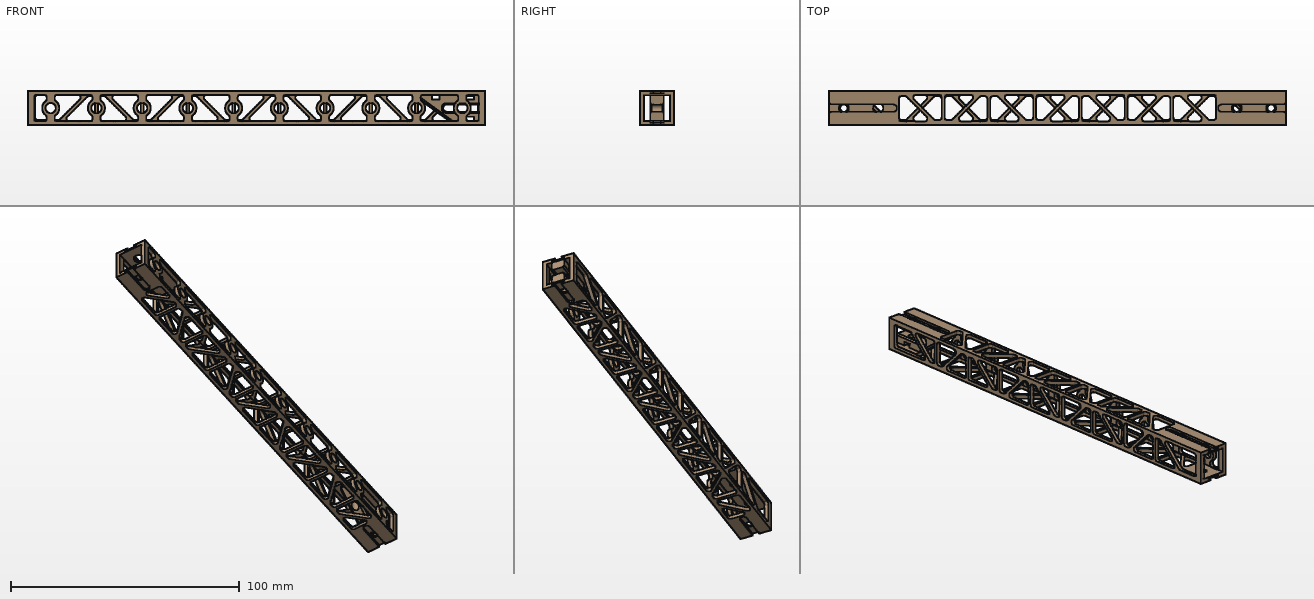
import cadquery as cq
LENGTH = 200.0
SIDE = 15.0
WALL = 1.9
HALF = SIDE / 2
INNER_HALF = HALF - WALL
WINDOW_HALF = 5.8

PITCH = 20.0
FIRST_POST = PITCH / 2
CELL_COUNT = 9
BAR_WIDTH = 1.5
BRACE_WIDTH = 1.5
BRACE_SPREAD = BRACE_WIDTH / 2**0.5
SHORT_EDGE_DROP = 0.5
WINDOW_FILLET = 1.2
BACK_END_MARGIN = 3.2
BOTTOM_END_MARGIN = 15.0
TOP_END_MARGIN = FIRST_POST + PITCH + BAR_WIDTH / 2

FRONT_END_MARGIN = 2.8
POST_WIDTH = 3.5
BOSS_DIAMETER = 7.5
BOSS_HOLE = 4.5
FRONT_FILLET = 1.1

GROOVE_WIDTH = 3.2
GROOVE_DEPTH = 1.1
GROOVE_LAND = 0.9
LIP_THICKNESS = 0.2
MOUTH_RADIUS = 1.5
SCREW_PITCH = 15.0
OUTER_SCREW = 6.5
INNER_SCREW = OUTER_SCREW + SCREW_PITCH
HEAD_HOLE = 4.5
SCREW_HOLE = 3.2

BLOCK_WIDTH = 6.0
BLOCK_START = 170.5
NOSE_HEIGHT = 1.2
SLOPE_FOOT = 184.2
NOSE_CHAMFER = 0.9
SLOT_START = 181.5
SLOT_HEIGHT = 3.0
SLOT_CHAMFER = 0.7
NOTCH_DEPTH = 1.8

OVERCUT = 2.0


def wall_prism(outline, fillet):
    """Cutter as deep as one wall, standing on the z = 0 plane, with rounded corners."""
    prism = cq.Workplane("XY").polyline(outline).close().extrude(WALL + OVERCUT)
    return prism.edges("|Z").fillet(fillet)


def truss_windows(left, right, centre, direction):
    """The two windows beside a brace; direction 1 is a rising brace and -1 a falling one."""
    edge = WINDOW_HALF
    short = edge - SHORT_EDGE_DROP
    upper_tip = centre - short - BRACE_SPREAD
    lower_tip = centre + short + BRACE_SPREAD
    upper = [(left, edge), (centre + edge - BRACE_SPREAD, edge)]
    lower = [(right, -edge), (centre - edge + BRACE_SPREAD, -edge)]
    if upper_tip > left:
        upper += [(upper_tip, -short), (left, -short)]
    else:
        upper += [(left, left - centre + BRACE_SPREAD)]
    if lower_tip < right:
        lower += [(lower_tip, short), (right, short)]
    else:
        lower += [(right, right - centre - BRACE_SPREAD)]
    cutters = []
    for outline in (upper, lower):
        points = [(x, direction * y) for x, y in outline]
        cutters.append(wall_prism(points, WINDOW_FILLET))
    return cutters


def truss(first, last, first_direction, start=None, end=None):
    """Windows of cells first to last, in alternating directions, laid out flat in XY."""
    cutters = []
    for cell in range(first, last + 1):
        left = FIRST_POST + cell * PITCH + BAR_WIDTH / 2
        right = left + PITCH - BAR_WIDTH
        centre = (left + right) / 2
        if cell == first and start is not None:
            left = start
        if cell == last and end is not None:
            right = end
        direction = first_direction * (-1) ** (cell - first)
        cutters += truss_windows(left, right, centre, direction)
    return cutters


def top_windows():
    cutters = truss(1, CELL_COUNT - 2, -1)
    return [c.translate((0, 0, INNER_HALF)) for c in cutters]


def bottom_windows():
    cutters = truss(0, CELL_COUNT - 1, -1, BOTTOM_END_MARGIN, LENGTH - BOTTOM_END_MARGIN)
    return [c.translate((0, 0, -HALF - OVERCUT)) for c in cutters]


def back_windows():
    cutters = truss(0, CELL_COUNT - 1, 1, BACK_END_MARGIN, LENGTH - BACK_END_MARGIN)
    upright = [c.rotate((0, 0, 0), (1, 0, 0), 90) for c in cutters]
    return [c.translate((0, HALF + OVERCUT, 0)) for c in upright]


def post_positions():
    return [FIRST_POST + i * PITCH for i in range(CELL_COUNT + 1)]


def front_windows():
    """One opening between the end margins, less the posts and their bosses."""
    depth = WALL + OVERCUT
    opening = cq.Workplane("XY").box(
        LENGTH - 2 * FRONT_END_MARGIN, 2 * WINDOW_HALF, depth, centered=(True, True, False)
    ).translate((LENGTH / 2, 0, 0))
    for x in post_positions():
        post = cq.Workplane("XY").center(x, 0).rect(POST_WIDTH, SIDE).extrude(depth)
        boss = cq.Workplane("XY").center(x, 0).circle(BOSS_DIAMETER / 2).extrude(depth)
        opening = opening.cut(post).cut(boss)
    opening = opening.edges("|Z").fillet(FRONT_FILLET)
    for x in post_positions():
        opening = opening.union(cq.Workplane("XY").center(x, 0).circle(BOSS_HOLE / 2).extrude(depth))
    return opening.rotate((0, 0, 0), (1, 0, 0), 90).translate((0, -INNER_HALF, 0))


def groove_mouth():
    """Flare below the lip, between two convex quarter rounds at x = 0."""
    inner = GROOVE_WIDTH / 2
    outer = inner + MOUTH_RADIUS
    bulge = MOUTH_RADIUS * (1 - 0.5**0.5)
    return (
        cq.Workplane("XY", origin=(0, 0, -GROOVE_DEPTH))
        .moveTo(0, -outer)
        .threePointArc((bulge, -inner - bulge), (MOUTH_RADIUS, -inner))
        .lineTo(MOUTH_RADIUS, inner)
        .threePointArc((bulge, inner + bulge), (0, outer))
        .close()
        .extrude(GROOVE_DEPTH - LIP_THICKNESS)
    )


def groove(length):
    """Round-ended groove that enters from x = 0, sunk below the z = 0 plane."""
    radius = GROOVE_WIDTH / 2
    channel = (
        cq.Workplane("XY")
        .moveTo(-OVERCUT, -radius)
        .lineTo(length - radius, -radius)
        .threePointArc((length, 0), (length - radius, radius))
        .lineTo(-OVERCUT, radius)
        .close()
        .extrude(-GROOVE_DEPTH)
    )
    return channel.union(groove_mouth())


def at_both_ends(cutter):
    return [cutter, cutter.mirror("YZ", (LENGTH / 2, 0, 0))]


def round_hole(x, diameter, z_low, z_high):
    return cq.Workplane("XY", origin=(x, 0, z_low)).circle(diameter / 2).extrude(z_high - z_low)


def end_cuts():
    """Grooves and screw holes of the top and bottom walls."""
    groove_floor = HALF - GROOVE_DEPTH
    top_groove = groove(TOP_END_MARGIN - GROOVE_LAND).translate((0, 0, HALF))
    bottom_groove = groove(BOTTOM_END_MARGIN - GROOVE_LAND).mirror("XY").translate((0, 0, -HALF))
    cutters = at_both_ends(top_groove) + at_both_ends(bottom_groove)
    for x in (OUTER_SCREW, INNER_SCREW):
        cutters += at_both_ends(round_hole(x, HEAD_HOLE, 0, groove_floor))
    cutters += at_both_ends(round_hole(OUTER_SCREW, SCREW_HOLE, -HALF - OVERCUT, 0))
    return cutters


def make_tube():
    tube = cq.Workplane("YZ").rect(SIDE, SIDE).rect(2 * INNER_HALF, 2 * INNER_HALF).extrude(LENGTH)
    for cutter in top_windows() + bottom_windows() + back_windows() + end_cuts():
        tube = tube.cut(cutter)
    return tube.cut(front_windows())


def block_body():
    """Block with a sloped nose whose side edges are chamfered."""
    outline = [
        (BLOCK_START, INNER_HALF),
        (BLOCK_START, INNER_HALF - NOSE_HEIGHT),
        (SLOPE_FOOT, -INNER_HALF),
        (LENGTH, -INNER_HALF),
        (LENGTH, INNER_HALF),
    ]
    half_width = BLOCK_WIDTH / 2
    block = cq.Workplane("XZ").polyline(outline).close().extrude(half_width, both=True)
    nose_box = cq.selectors.BoxSelector(
        (BLOCK_START - OVERCUT, -SIDE, -INNER_HALF + NOSE_CHAMFER),
        (SLOPE_FOOT - OVERCUT, SIDE, INNER_HALF),
    )
    return block.edges(nose_box).edges("not |Y").chamfer(NOSE_CHAMFER)


def cut_slot(block):
    """Slot open at +X, with a round closed end and chamfered rims."""
    radius = SLOT_HEIGHT / 2
    slot = (
        cq.Workplane("XZ")
        .moveTo(LENGTH + OVERCUT, radius)
        .lineTo(SLOT_START + radius, radius)
        .threePointArc((SLOT_START, 0), (SLOT_START + radius, -radius))
        .lineTo(LENGTH + OVERCUT, -radius)
        .close()
        .extrude(BLOCK_WIDTH, both=True)
    )
    block = block.cut(slot)
    slot_rims = cq.selectors.BoxSelector(
        (SLOT_START - SLOT_CHAMFER, -SIDE, -radius - SLOT_CHAMFER),
        (LENGTH - SLOT_CHAMFER, SIDE, radius + SLOT_CHAMFER),
    )
    return block.edges("<Y or >Y").edges(slot_rims).chamfer(SLOT_CHAMFER)


def cut_screw_seats(block):
    """Vertical screw holes, each with a notch across the block where it meets a wall."""
    notch_height = 2 * NOTCH_DEPTH
    for x, z in (
        (LENGTH - INNER_SCREW, INNER_HALF),
        (LENGTH - OUTER_SCREW, INNER_HALF),
        (LENGTH - OUTER_SCREW, -INNER_HALF),
    ):
        notch = cq.Workplane("XY").box(SCREW_HOLE, 2 * BLOCK_WIDTH, notch_height)
        block = block.cut(notch.translate((x, 0, z)))
    for x in (LENGTH - INNER_SCREW, LENGTH - OUTER_SCREW):
        block = block.cut(round_hole(x, SCREW_HOLE, -HALF, HALF))
    return block


def make_block():
    return cut_screw_seats(cut_slot(block_body()))


tube = make_tube()
block = make_block()

result = cq.Compound.makeCompound([tube.val(), block.val()])